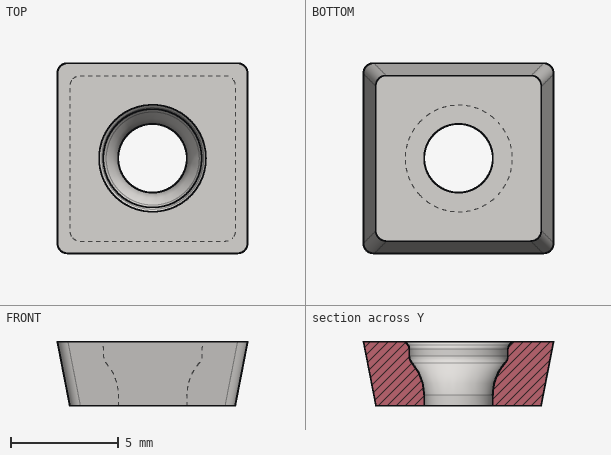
import cadquery as cq
import math

edge_length = 8.9
thickness = 3.0
clearance_angle = 11.0
corner_radius = 0.5

bore_radius = 3.2 / 2
seat_radius = 2.3
mouth_radius = 2.5
slope_angle = math.radians(42.0)
mouth_blend_radius = 0.3
seat_wall_length = 0.33
seat_blend_radius = 0.48
throat_radius = (seat_radius - bore_radius) / (1 - math.cos(slope_angle)) - seat_blend_radius


def make_body():
    """Square block narrowing downwards, with rounded corner edges."""
    body = (
        cq.Workplane("XY")
        .workplane(offset=thickness)
        .rect(edge_length, edge_length)
        .extrude(-thickness, taper=clearance_angle)
    )
    return body.edges("not(#Z)").fillet(corner_radius)


def arc_drop(radius, angle):
    """Axial length of an arc that turns from the axis direction by the angle."""
    return radius * math.sin(angle)


def arc_inset(radius, angle):
    """Radial width of an arc that turns from the axis direction by the angle."""
    return radius * (1 - math.cos(angle))


def make_screw_hole():
    """Revolved hole: mouth cone, blend, seat cylinder, S-shaped seat curve and bore."""
    half_angle = slope_angle / 2

    cone_end_radius = seat_radius + arc_inset(mouth_blend_radius, slope_angle)
    cone_end_z = thickness - (mouth_radius - cone_end_radius) / math.tan(slope_angle)
    wall_top_z = cone_end_z - arc_drop(mouth_blend_radius, slope_angle)
    mouth_blend_middle = (
        seat_radius + arc_inset(mouth_blend_radius, half_angle),
        wall_top_z + arc_drop(mouth_blend_radius, half_angle),
    )

    wall_bottom_z = wall_top_z - seat_wall_length
    seat_blend_end = (
        seat_radius - arc_inset(seat_blend_radius, slope_angle),
        wall_bottom_z - arc_drop(seat_blend_radius, slope_angle),
    )
    seat_blend_middle = (
        seat_radius - arc_inset(seat_blend_radius, half_angle),
        wall_bottom_z - arc_drop(seat_blend_radius, half_angle),
    )

    bore_top_z = seat_blend_end[1] - arc_drop(throat_radius, slope_angle)
    throat_middle = (
        bore_radius + arc_inset(throat_radius, half_angle),
        bore_top_z + arc_drop(throat_radius, half_angle),
    )

    profile = (
        cq.Workplane("XZ")
        .moveTo(0, thickness)
        .lineTo(mouth_radius, thickness)
        .lineTo(cone_end_radius, cone_end_z)
        .threePointArc(mouth_blend_middle, (seat_radius, wall_top_z))
        .lineTo(seat_radius, wall_bottom_z)
        .threePointArc(seat_blend_middle, seat_blend_end)
        .threePointArc(throat_middle, (bore_radius, bore_top_z))
        .lineTo(bore_radius, 0)
        .lineTo(0, 0)
        .close()
    )
    return profile.revolve(360, (0, 0, 0), (0, 1, 0))


result = make_body().cut(make_screw_hole())